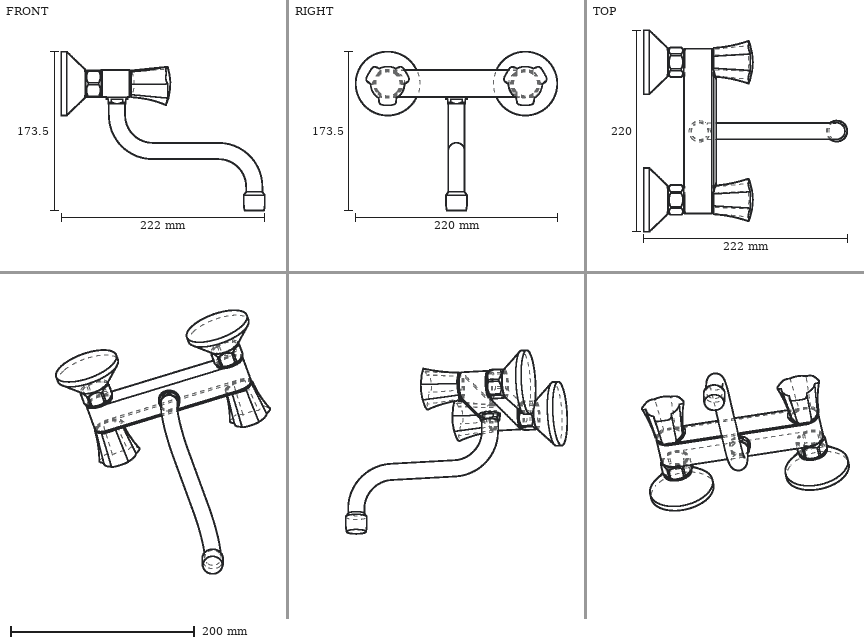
import cadquery as cq
import math

inlet_offset = 75.0
seat_diameter = 26.5

rosette_diameter = 70.0
rosette_rim = 6.0
rosette_end_radius = 15.5
rosette_length = 26.2
nut_start = 26.9
nut_end = 43.5
nut_across_flats = 29.3
nut_diameter = 32.6
nut_chamfer = 2.5

body_back = 44.0
body_step = 74.2
body_front = 76.2
body_bulge = 79.3
body_radius = 14.9
body_step_depth = 0.33
union_recess = 0.9
handle_seat = 75.5
clearance_radius = 16.0
clearance_outer_radius = 18.5

tube_diameter = 18.0
bend_radius = 38.9
tube_level = -73.5
flange_diameter = 23.0
flange_bottom = -16.9
adapter_bottom = -22.2
adapter_flats = 19.5
adapter_chamfer = 2.0
outlet_diameter = 23.0
outlet_tip_diameter = 21.0
outlet_taper_bow = 0.2
outlet_x = 222 - outlet_diameter / 2
spout_x = 60.9
outlet_cone_top = -118.2
outlet_cone_bottom = -121.7
outlet_taper_top = -132.5
overall_height = 173.5
outlet_bottom = rosette_diameter / 2 - overall_height

handle_back = 76.5
handle_tip = 119.3
handle_base_radius = 14.5
core_end_radius = 18.9
dome_radius = 58.9
lobe_count = 3
lobe_back_tip = 14.9
lobe_middle_tip = 18.0
lobe_front_tip = 25.5
lobe_back_shoulder = 10.9
lobe_middle_shoulder = 13.3
lobe_front_shoulder = 18.9
lobe_back_half_width = 8.0
lobe_front_half_width = 9.8


def revolve_about_x(profile):
    """Turn a closed XY profile, with y as its radius, about the X axis."""
    return profile.close().revolve(360, (0, 0, 0), (1, 0, 0))


def cylinder_x(x_start, x_end, diameter):
    return cq.Workplane("YZ", origin=(x_start, 0, 0)).circle(diameter / 2).extrude(x_end - x_start)


def cylinder_z(x, z_bottom, z_top, diameter):
    return cq.Workplane("XY", origin=(x, 0, z_bottom)).circle(diameter / 2).extrude(z_top - z_bottom)


def make_rosette():
    profile = (
        cq.Workplane("XY")
        .lineTo(0, rosette_diameter / 2)
        .lineTo(rosette_rim, rosette_diameter / 2)
        .lineTo(rosette_length, rosette_end_radius)
        .lineTo(rosette_length, 0)
    )
    return revolve_about_x(profile)


def make_union_nut():
    """Hexagon with flats facing up and down, its corners rounded and its ends chamfered."""
    length = nut_end - nut_start
    corner_diameter = nut_across_flats / math.cos(math.pi / 6)
    hexagon = cq.Workplane("YZ", origin=(nut_start, 0, 0)).polygon(6, corner_diameter).extrude(length)
    envelope = cylinder_x(nut_start, nut_end, nut_diameter).edges().chamfer(nut_chamfer)
    return hexagon.intersect(envelope)


def make_wall_union():
    neck = cylinder_x(rosette_length, body_back + union_recess, seat_diameter)
    return make_rosette().union(neck).union(make_union_nut())


def bar_section(x_start, x_end, radius):
    """Length of bar whose ends are round about the two inlet axes."""
    return (
        cq.Workplane("YZ", origin=(x_start, 0, 0))
        .slot2D(2 * (inlet_offset + radius), 2 * radius)
        .extrude(x_end - x_start)
    )


def make_bulge(radius):
    """Shallow arched front between the two inlet axes."""
    return (
        cq.Workplane("XZ", origin=(0, inlet_offset, 0))
        .moveTo(body_front, -radius)
        .threePointArc((body_bulge, 0), (body_front, radius))
        .close()
        .extrude(2 * inlet_offset)
    )


def make_handle_clearance():
    """Seat for a handle: a flat floor inside a cone that opens towards the front."""
    profile = (
        cq.Workplane("XY")
        .moveTo(handle_seat, 0)
        .lineTo(handle_seat, clearance_radius)
        .lineTo(body_front, clearance_radius)
        .lineTo(body_bulge, clearance_outer_radius)
        .lineTo(body_bulge, 0)
    )
    return revolve_about_x(profile)


def make_bar():
    front_radius = body_radius - body_step_depth
    bar = bar_section(body_back, body_step, body_radius)
    bar = bar.union(bar_section(body_step, body_front, front_radius))
    bar = bar.union(make_bulge(front_radius))
    union_seat = cylinder_x(body_back, body_back + union_recess, 2 * body_radius)
    for y in (-inlet_offset, inlet_offset):
        bar = bar.cut(union_seat.translate((0, y, 0)))
        bar = bar.cut(make_handle_clearance().translate((0, y, 0)))
    return bar


def make_adapter():
    """Flange and round adapter with four flats that join the tube to the bar."""
    flange = cylinder_z(spout_x, flange_bottom, -body_radius, flange_diameter)
    adapter = cylinder_z(spout_x, adapter_bottom, flange_bottom, flange_diameter)
    adapter = adapter.faces("<Z").chamfer(adapter_chamfer)
    flats = (
        cq.Workplane("XY", origin=(spout_x, 0, adapter_bottom))
        .rect(adapter_flats, adapter_flats)
        .extrude(flange_bottom - adapter_bottom)
    )
    return flange.union(adapter.intersect(flats))


def make_tube():
    """Tube that drops, runs level away from the wall and drops again."""
    bend_offset = bend_radius * math.sqrt(0.5)
    first_bend_x = spout_x + bend_radius
    second_bend_x = outlet_x - bend_radius
    path = (
        cq.Workplane("XZ")
        .moveTo(spout_x, adapter_bottom)
        .lineTo(spout_x, tube_level + bend_radius)
        .threePointArc(
            (first_bend_x - bend_offset, tube_level + bend_radius - bend_offset),
            (first_bend_x, tube_level),
        )
        .lineTo(second_bend_x, tube_level)
        .threePointArc(
            (second_bend_x + bend_offset, tube_level - bend_radius + bend_offset),
            (outlet_x, tube_level - bend_radius),
        )
        .lineTo(outlet_x, outlet_cone_top)
    )
    start = cq.Workplane("XY", origin=(spout_x, 0, adapter_bottom))
    return start.circle(tube_diameter / 2).sweep(path)


def make_outlet():
    """Collar with a conical shoulder and a rounded taper at its mouth."""
    taper_middle = (
        (outlet_diameter + outlet_tip_diameter) / 4 + outlet_taper_bow,
        (outlet_taper_top + outlet_bottom) / 2,
    )
    return (
        cq.Workplane("XZ", origin=(outlet_x, 0, 0))
        .moveTo(0, outlet_cone_top)
        .lineTo(tube_diameter / 2, outlet_cone_top)
        .lineTo(outlet_diameter / 2, outlet_cone_bottom)
        .lineTo(outlet_diameter / 2, outlet_taper_top)
        .threePointArc(taper_middle, (outlet_tip_diameter / 2, outlet_bottom))
        .lineTo(0, outlet_bottom)
        .close()
        .revolve(360, (0, 0, 0), (0, 1, 0))
    )


def make_mixer_body():
    return make_bar().union(make_adapter()).union(make_tube()).union(make_outlet())


def make_handle_core():
    profile = (
        cq.Workplane("XY")
        .moveTo(handle_back, 0)
        .lineTo(handle_back, handle_base_radius)
        .lineTo(handle_tip, core_end_radius)
        .lineTo(handle_tip, 0)
    )
    return revolve_about_x(profile)


def lobe_wire(x, tip, shoulder, half_width):
    """Cross-section of the upright lobe: flanks that run smoothly into a rounded crown."""
    return (
        cq.Workplane("YZ", origin=(x, 0, 0))
        .moveTo(-half_width, 0)
        .lineTo(-half_width, shoulder)
        .spline([(0, tip), (half_width, shoulder)], tangents=[(0, 1), (0, -1)], includeCurrent=True)
        .lineTo(half_width, 0)
        .close()
        .val()
    )


def make_lobe():
    middle_x = (handle_back + handle_tip) / 2
    middle_half_width = (lobe_back_half_width + lobe_front_half_width) / 2
    back = lobe_wire(handle_back, lobe_back_tip, lobe_back_shoulder, lobe_back_half_width)
    middle = lobe_wire(middle_x, lobe_middle_tip, lobe_middle_shoulder, middle_half_width)
    front = lobe_wire(handle_tip, lobe_front_tip, lobe_front_shoulder, lobe_front_half_width)
    return cq.Workplane(obj=cq.Solid.makeLoft([back, middle, front]))


def make_handle():
    """Handle with one lobe pointing down and the others spaced evenly around it."""
    handle = make_handle_core()
    lobe = make_lobe()
    for index in range(lobe_count):
        angle = 180 + index * 360 / lobe_count
        handle = handle.union(lobe.rotate((0, 0, 0), (1, 0, 0), angle))
    dome = cq.Workplane("XY").sphere(dome_radius).translate((handle_tip - dome_radius, 0, 0))
    neck = cylinder_x(handle_seat, handle_back, seat_diameter)
    return handle.intersect(dome).union(neck)


mixer_body = make_mixer_body()
wall_unions = []
handles = []
for side_y in (-inlet_offset, inlet_offset):
    wall_unions.append(make_wall_union().translate((0, side_y, 0)).val())
    handles.append(make_handle().translate((0, side_y, 0)).val())

result = cq.Compound.makeCompound([mixer_body.val(), *wall_unions, *handles])